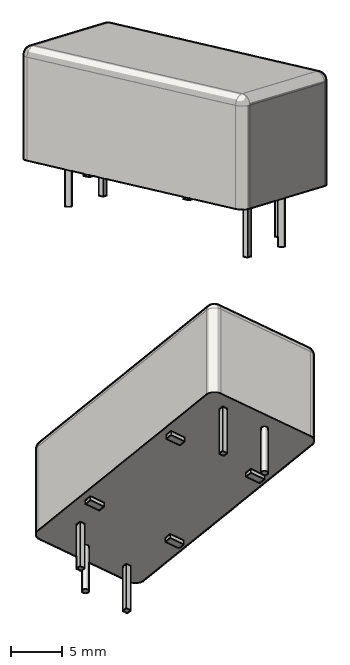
import cadquery as cq

case_length = 29.0
case_width = 13.0
case_height = 11.48
edge_radius = 1.0

pin_length = 5.5
round_pin_diameter = 0.7
square_pin_side = 0.58
pin_end_x = 12.7
pin_pitch = pin_end_x / 5
pin_inner_y = 0.5 * pin_pitch
pin_outer_y = 1.5 * pin_pitch

round_pin_places = [(-pin_end_x, -pin_inner_y), (pin_end_x, pin_inner_y)]
square_pin_places = [
    (-pin_end_x, pin_outer_y),
    (pin_end_x, -pin_outer_y),
    (pin_end_x - pin_pitch, pin_outer_y),
]

pad_height = 0.5
pad_size_x = 0.78
pad_spacing_x = 12.93
pad_outer_y = 5.75
pad_inner_y = 4.05
pad_size_y = pad_outer_y - pad_inner_y
pad_spacing_y = pad_outer_y + pad_inner_y


def make_case():
    """Block with rounded upright edges and a rounded top rim."""
    block = cq.Workplane("XY").box(case_length, case_width, case_height, centered=(True, True, False))
    return block.edges("|Z or >Z").fillet(edge_radius)


def make_round_pins():
    return cq.Workplane("XY").pushPoints(round_pin_places).circle(round_pin_diameter / 2).extrude(-pin_length)


def make_square_pins():
    profiles = cq.Workplane("XY").pushPoints(square_pin_places).rect(square_pin_side, square_pin_side)
    return profiles.extrude(-pin_length)


def make_pads():
    centres = cq.Workplane("XY").rarray(pad_spacing_x, pad_spacing_y, 2, 2)
    return centres.rect(pad_size_x, pad_size_y).extrude(-pad_height)


result = make_case().union(make_round_pins()).union(make_square_pins()).union(make_pads())